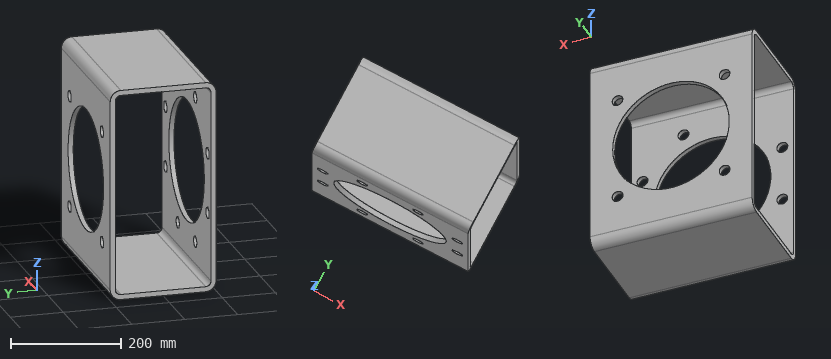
import cadquery as cq

length = 320.0
depth = 200.0
height = 400.0
wall = 10.0
outer_radius = 20.0
inner_radius = outer_radius - wall

bore_diameter = 230.0
bolt_hole_diameter = 21.0
bolt_circle_diameter = 298.5
front_bolt_count = 8
back_bolt_count = 4


def rounded_bar(width_y, height_z, radius):
    """Solid bar along X with its four long edges rounded."""
    return cq.Workplane("YZ").rect(width_y, height_z).extrude(length / 2, both=True).edges("|X").fillet(radius)


def bolt_hole_cutter(count):
    """Pins along +Y from the mid plane, starting half a pitch from +X."""
    pitch = 360.0 / count
    return (
        cq.Workplane("XZ")
        .polarArray(bolt_circle_diameter / 2, pitch / 2, 360, count)
        .circle(bolt_hole_diameter / 2)
        .extrude(-depth)
    )


def make_tube():
    outer = rounded_bar(depth, height, outer_radius)
    inner = rounded_bar(depth - 2 * wall, height - 2 * wall, inner_radius)
    return outer.cut(inner)


bore = cq.Workplane("XZ").circle(bore_diameter / 2).extrude(depth, both=True)

front_holes = bolt_hole_cutter(front_bolt_count).mirror("XZ")
back_holes = bolt_hole_cutter(back_bolt_count)

result = make_tube().cut(bore).cut(front_holes).cut(back_holes)